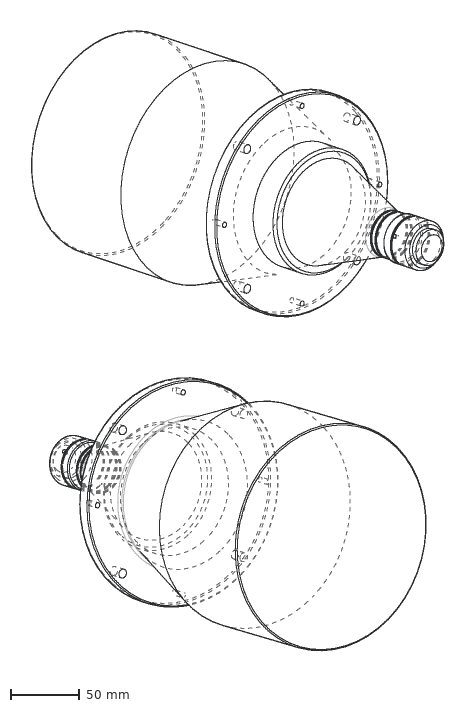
import cadquery as cq
import math

total_length = 349.3
drum_end = 100.2
taper_end = 189.5
flange_start = 194.0
flange_end = 205.5
hub_end = 229.5
cone_end = 299.7
head_start = 316.5
head_end = 343.5
cap_end = 347.2

drum_radius = 84.5
flange_radius = drum_radius
neck_radius = 56.0
hub_radius = 48.0
cone_start_radius = 40.5
stem_radius = 17.8
head_radius = 19.0
cap_radius = 13.5
tip_radius = 10.0

edge_chamfer = 1.0
hub_chamfer = 2.0
head_rear_chamfer = head_radius - stem_radius
head_front_chamfer = 2.5
neck_fillet = 2.0
stem_blend_radius = 17.5

groove_width = 1.0
groove_depth = 0.7
stem_groove_stations = (301.8, 307.0)
head_groove_station = 325.2

bolt_circle_radius = 75.8
holes_per_size = 4
large_hole_diameter = 6.5
small_hole_diameter = 4.0

screw_hole_count = 3
screw_hole_station = 327.5
screw_hole_diameter = 2.8
screw_hole_depth = 2.8
screw_start_angle = 36.0


def turned_body():
    """Revolve the half profile about the X axis."""
    cone_angle = math.atan((cone_start_radius - stem_radius) / (cone_end - hub_end))
    tangent_length = stem_blend_radius * math.tan(cone_angle / 2)
    blend_start = (
        cone_end - tangent_length * math.cos(cone_angle),
        stem_radius + tangent_length * math.sin(cone_angle),
    )
    blend_end = (cone_end + tangent_length, stem_radius)

    return (
        cq.Workplane("XY")
        .lineTo(0, drum_radius - edge_chamfer)
        .lineTo(edge_chamfer, drum_radius)
        .lineTo(drum_end, drum_radius)
        .lineTo(taper_end, neck_radius)
        .lineTo(flange_start - neck_fillet, neck_radius)
        .radiusArc((flange_start, neck_radius + neck_fillet), -neck_fillet)
        .lineTo(flange_start, flange_radius - edge_chamfer)
        .lineTo(flange_start + edge_chamfer, flange_radius)
        .lineTo(flange_end - edge_chamfer, flange_radius)
        .lineTo(flange_end, flange_radius - edge_chamfer)
        .lineTo(flange_end, hub_radius)
        .lineTo(hub_end - hub_chamfer, hub_radius)
        .lineTo(hub_end, hub_radius - hub_chamfer)
        .lineTo(hub_end, cone_start_radius)
        .lineTo(*blend_start)
        .radiusArc(blend_end, -stem_blend_radius)
        .lineTo(head_start, stem_radius)
        .lineTo(head_start + head_rear_chamfer, head_radius)
        .lineTo(head_end - head_front_chamfer, head_radius)
        .lineTo(head_end, head_radius - head_front_chamfer)
        .lineTo(head_end, cap_radius)
        .lineTo(cap_end, cap_radius)
        .lineTo(total_length, tip_radius)
        .lineTo(total_length, 0)
        .close()
        .revolve(360, (0, 0, 0), (1, 0, 0))
    )


def ring_groove(station, surface_radius):
    """Cutter for a shallow groove centred on a station along X."""
    return (
        cq.Workplane("YZ", origin=(station - groove_width / 2, 0, 0))
        .circle(surface_radius + groove_depth)
        .circle(surface_radius - groove_depth)
        .extrude(groove_width)
    )


def flange_holes(diameter, start_angle):
    """Cutter for evenly spaced holes through the flange."""
    return (
        cq.Workplane("YZ", origin=(flange_start, 0, 0))
        .polarArray(bolt_circle_radius, start_angle, 360, holes_per_size)
        .circle(diameter / 2)
        .extrude(flange_end - flange_start)
    )


def screw_hole(angle):
    """Cutter for a blind radial hole; the angle runs from +Y towards +Z."""
    outward = cq.Vector(0, math.cos(math.radians(angle)), math.sin(math.radians(angle)))
    floor = cq.Vector(screw_hole_station, 0, 0) + outward * (head_radius - screw_hole_depth)
    return cq.Solid.makeCylinder(screw_hole_diameter / 2, 2 * screw_hole_depth, floor, outward)


result = turned_body()

for station in stem_groove_stations:
    result = result.cut(ring_groove(station, stem_radius))
result = result.cut(ring_groove(head_groove_station, head_radius))

hole_pitch = 360 / holes_per_size
result = result.cut(flange_holes(small_hole_diameter, 0))
result = result.cut(flange_holes(large_hole_diameter, hole_pitch / 2))

for index in range(screw_hole_count):
    result = result.cut(screw_hole(screw_start_angle + index * 360 / screw_hole_count))